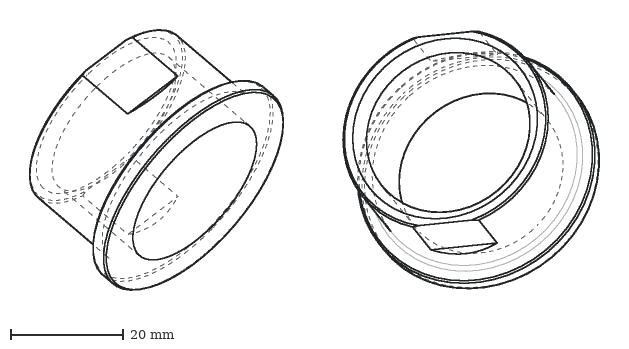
import cadquery as cq

length = 23.0
flange_radius = 44 / 2
flange_width = 3.45
sleeve_radius = 38.0 / 2
bore_radius = 30.25 / 2
edge_chamfer = 0.35
fillet_radius = 0.8
bore_chamfer = 2.0
flat_height = 18.0
flat_length = 12.1

flange_face = length - flange_width


def make_flanged_sleeve():
    """Revolve the half section, with its round root and edge chamfers, about X."""
    fillet_start = flange_face - fillet_radius
    fillet_top = sleeve_radius + fillet_radius
    fillet_middle = (
        flange_face - fillet_radius * (1 - 0.5**0.5),
        sleeve_radius + fillet_radius * (1 - 0.5**0.5),
    )
    return (
        cq.Workplane("XY")
        .moveTo(0, bore_radius + bore_chamfer)
        .lineTo(0, sleeve_radius - edge_chamfer)
        .lineTo(edge_chamfer, sleeve_radius)
        .lineTo(fillet_start, sleeve_radius)
        .threePointArc(fillet_middle, (flange_face, fillet_top))
        .lineTo(flange_face, flange_radius - edge_chamfer)
        .lineTo(flange_face + edge_chamfer, flange_radius)
        .lineTo(length - edge_chamfer, flange_radius)
        .lineTo(length, flange_radius - edge_chamfer)
        .lineTo(length, bore_radius)
        .lineTo(bore_chamfer, bore_radius)
        .close()
        .revolve(360, (0, 0, 0), (1, 0, 0))
    )


def make_flat_cutter():
    """Material above the top flat, with a 45 degree run-out at its inner end."""
    cut_height = sleeve_radius + edge_chamfer - flat_height
    return (
        cq.Workplane("XZ")
        .moveTo(0, flat_height)
        .lineTo(flat_length, flat_height)
        .lineTo(flat_length + cut_height, flat_height + cut_height)
        .lineTo(0, flat_height + cut_height)
        .close()
        .extrude(sleeve_radius, both=True)
    )


top_cutter = make_flat_cutter()
bottom_cutter = top_cutter.mirror("XY")
result = make_flanged_sleeve().cut(top_cutter).cut(bottom_cutter)